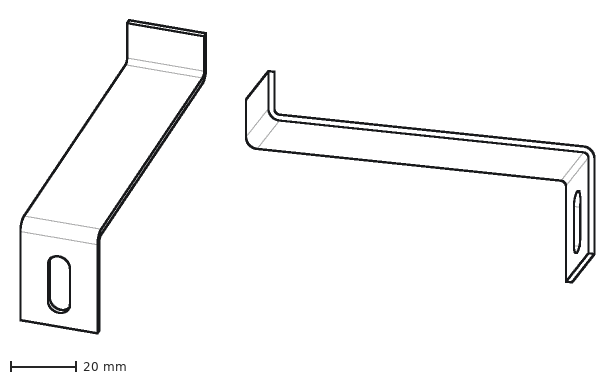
import cadquery as cq

width = 25.0
length = 104.0
height = 49.0
thickness = 2.0

inner_radius = 1.6
outer_radius = inner_radius + thickness

web_top = 35.0
web_bottom = web_top - thickness

slot_width = 7.1
slot_length = 20.0
slot_center_height = 15.0


def bracket_body():
    """Z-shaped side profile with square corners, extruded across the width, then bent corners rounded."""
    profile = [
        (0, 0),
        (0, web_top),
        (length - thickness, web_top),
        (length - thickness, height),
        (length, height),
        (length, web_bottom),
        (thickness, web_bottom),
        (thickness, 0),
    ]
    body = cq.Workplane("YZ").polyline(profile).close().extrude(width / 2, both=True)
    outer_corners = [(0, web_top), (length, web_bottom)]
    inner_corners = [(thickness, web_bottom), (length - thickness, web_top)]
    body = round_corners(body, outer_corners, outer_radius)
    return round_corners(body, inner_corners, inner_radius)


def round_corners(body, corners, radius):
    """Fillet the edges along X that pass through the given (Y, Z) corners."""
    for y, z in corners:
        body = body.edges(cq.selectors.NearestToPointSelector((0, y, z))).fillet(radius)
    return body


def leg_slot():
    """Upright round-ended cutter passing through the front leg."""
    return (
        cq.Workplane("XZ")
        .center(0, slot_center_height)
        .slot2D(slot_length, slot_width, 90)
        .extrude(thickness, both=True)
    )


result = bracket_body().cut(leg_slot())